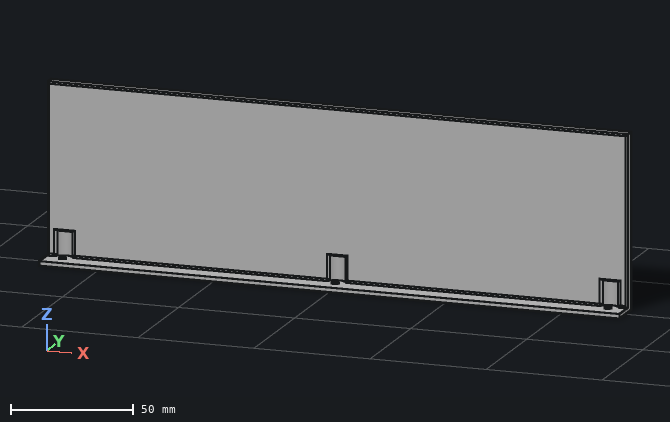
import cadquery as cq

length = 250.0
depth = 15.0
height = 75.0

plate_thickness = 5.0
ledge_thickness = 2.0
face_chamfer = 0.8
foot_bevel = 0.8

hole_diameter = 3.0
hole_end_distance = 7.5
hole_back_distance = 7.5
recess_diameter = 9.0
recess_top = 12.5

back_y = depth / 2
plate_front_y = back_y - plate_thickness
hole_y = back_y - hole_back_distance
end_hole_x = length / 2 - hole_end_distance
hole_positions = [(x, hole_y) for x in (-end_hole_x, 0, end_hole_x)]


def make_hole_cylinders(diameter, top_z):
    """Upright cylinders centred on the screw holes, standing on the base plane."""
    return cq.Workplane("XY").pushPoints(hole_positions).circle(diameter / 2).extrude(top_z)


def make_plate():
    """Upright plate with screw head recesses; all front edges but the foot are chamfered."""
    plate = (
        cq.Workplane("XY", origin=(0, plate_front_y, 0))
        .box(length, plate_thickness, height, centered=(True, False, False))
        .cut(make_hole_cylinders(recess_diameter, recess_top))
    )
    front_edges = plate.faces("<Y").edges("not <Z")
    return front_edges.chamfer(face_chamfer)


def make_ledge():
    """Flat ledge reaching forward from the foot of the plate."""
    return cq.Workplane("XY").box(length, depth, ledge_thickness, centered=(True, True, False))


def make_foot_bevel():
    """Triangular strip in the corner of plate and ledge, interrupted at each recess."""
    strip_length = length - 2 * face_chamfer
    strip = (
        cq.Workplane("YZ", origin=(-strip_length / 2, 0, 0))
        .moveTo(plate_front_y, ledge_thickness)
        .lineTo(plate_front_y, ledge_thickness + foot_bevel)
        .lineTo(plate_front_y - foot_bevel, ledge_thickness)
        .close()
        .extrude(strip_length)
    )
    return strip.cut(make_hole_cylinders(recess_diameter, recess_top))


body = make_plate().union(make_ledge()).union(make_foot_bevel())
result = body.cut(make_hole_cylinders(hole_diameter, ledge_thickness))